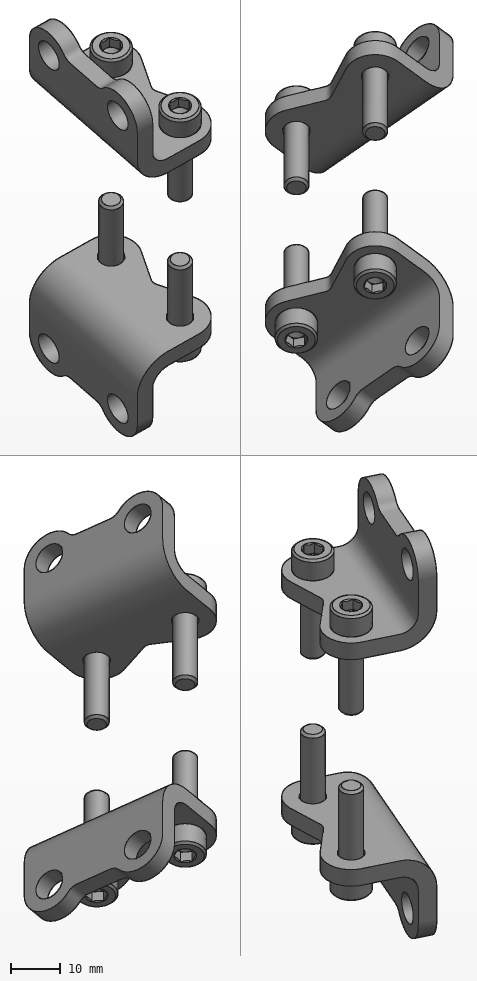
import cadquery as cq
import math

width = 34.5
overall_height = 94.5
leg_length = 22.2
thickness = 4.0
bend_inner_radius = 4.0
bend_outer_radius = bend_inner_radius + thickness

lobe_radius = 6.2
hole_x = width / 2 - lobe_radius
hole_to_heel = leg_length - lobe_radius
mount_hole_diameter = 6.6
bolt_hole_diameter = 5.5

flat_notch_depth = 3.2
flat_notch_fillet = 2.8
vee_slope = 25.0
vee_root_radius = 2.0

shank_diameter = 5.0
shank_length = 20.0
tip_chamfer = 0.6
head_diameter = 8.5
head_height = 5.0
head_top_chamfer = 0.5
head_base_chamfer = 0.2
socket_across_flats = 4.0
socket_depth = 2.5
socket_mouth_depth = 0.3
socket_cone_angle = 120.0

heel_z = overall_height / 2 - leg_length
seat_z = heel_z + thickness


def on_circle(center_x, center_y, radius, angle):
    """Point on a circle at an angle in degrees from the local x axis."""
    a = math.radians(angle)
    return (center_x + radius * math.cos(a), center_y + radius * math.sin(a))


def start_leg_outline(plane):
    """Outer edge of a leg, up the left side and over the left lobe's crest."""
    return (
        cq.Workplane(plane)
        .moveTo(-width / 2, 0)
        .lineTo(-width / 2, hole_to_heel)
        .threePointArc(on_circle(-hole_x, hole_to_heel, lobe_radius, 135), (-hole_x, leg_length))
    )


def finish_leg_outline(outline):
    """Right lobe from its crest to the side, then back along the heel."""
    return (
        outline
        .threePointArc(on_circle(hole_x, hole_to_heel, lobe_radius, 45), (width / 2, hole_to_heel))
        .lineTo(width / 2, 0)
        .close()
    )


def make_mount_leg_outline():
    """Two lobes joined by fillets to a flat-bottomed notch."""
    flat_y = leg_length - flat_notch_depth
    fillet_y = flat_y + flat_notch_fillet
    rise = fillet_y - hole_to_heel
    center_distance = lobe_radius + flat_notch_fillet
    fillet_x = hole_x - math.sqrt(center_distance**2 - rise**2)
    lobe_angle = math.degrees(math.asin(rise / center_distance))
    arc_middle = (90 + lobe_angle) / 2
    left_join = on_circle(-hole_x, hole_to_heel, lobe_radius, lobe_angle)
    right_join = (-left_join[0], left_join[1])
    outline = (
        start_leg_outline(cq.Plane(origin=(0, 0, heel_z), xDir=(1, 0, 0), normal=(0, -1, 0)))
        .threePointArc(on_circle(-hole_x, hole_to_heel, lobe_radius, arc_middle), left_join)
        .threePointArc(
            on_circle(-fillet_x, fillet_y, flat_notch_fillet, 180 + arc_middle),
            (-fillet_x, flat_y),
        )
        .lineTo(fillet_x, flat_y)
        .threePointArc(on_circle(fillet_x, fillet_y, flat_notch_fillet, -arc_middle), right_join)
        .threePointArc(
            on_circle(hole_x, hole_to_heel, lobe_radius, 180 - arc_middle),
            (hole_x, leg_length),
        )
    )
    return finish_leg_outline(outline)


def make_bolt_leg_outline():
    """Two lobes joined by tangent flanks to a rounded vee notch."""
    flank_angle = 90 - vee_slope
    lobe_middle = (90 + flank_angle) / 2
    slope = math.radians(vee_slope)
    root_center_y = (
        hole_to_heel
        + (lobe_radius + vee_root_radius) / math.cos(slope)
        - hole_x * math.tan(slope)
    )
    outline = (
        start_leg_outline(cq.Plane.XY(origin=(0, 0, heel_z)))
        .threePointArc(
            on_circle(-hole_x, hole_to_heel, lobe_radius, lobe_middle),
            on_circle(-hole_x, hole_to_heel, lobe_radius, flank_angle),
        )
        .lineTo(*on_circle(0, root_center_y, vee_root_radius, 180 + flank_angle))
        .threePointArc(
            (0, root_center_y - vee_root_radius),
            on_circle(0, root_center_y, vee_root_radius, -flank_angle),
        )
        .lineTo(*on_circle(hole_x, hole_to_heel, lobe_radius, 180 - flank_angle))
        .threePointArc(
            on_circle(hole_x, hole_to_heel, lobe_radius, 180 - lobe_middle),
            (hole_x, leg_length),
        )
    )
    return finish_leg_outline(outline)


def make_bracket():
    """Upper bracket: a bent plate trimmed by both leg outlines, with two holes per leg."""
    top_z = heel_z + leg_length
    bent_plate = (
        cq.Workplane("YZ", origin=(-width / 2, 0, 0))
        .moveTo(0, top_z)
        .lineTo(0, heel_z + bend_outer_radius)
        .radiusArc((bend_outer_radius, heel_z), -bend_outer_radius)
        .lineTo(leg_length, heel_z)
        .lineTo(leg_length, seat_z)
        .lineTo(bend_outer_radius, seat_z)
        .radiusArc((thickness, heel_z + bend_outer_radius), bend_inner_radius)
        .lineTo(thickness, top_z)
        .close()
        .extrude(width)
    )
    bracket = (
        bent_plate
        .intersect(make_mount_leg_outline().extrude(-leg_length))
        .intersect(make_bolt_leg_outline().extrude(leg_length))
    )
    mount_holes = (
        cq.Workplane("XZ")
        .pushPoints([(-hole_x, heel_z + hole_to_heel), (hole_x, heel_z + hole_to_heel)])
        .circle(mount_hole_diameter / 2)
        .extrude(-thickness)
    )
    bolt_holes = (
        cq.Workplane("XY", origin=(0, 0, heel_z))
        .pushPoints([(-hole_x, hole_to_heel), (hole_x, hole_to_heel)])
        .circle(bolt_hole_diameter / 2)
        .extrude(thickness)
    )
    return bracket.cut(mount_holes).cut(bolt_holes)


def make_bolt():
    """Socket head bolt along Z with the underside of its head at Z = 0."""
    head = (
        cq.Workplane("XY")
        .circle(head_diameter / 2)
        .extrude(head_height)
        .faces(">Z").chamfer(head_top_chamfer)
        .faces("<Z").chamfer(head_base_chamfer)
    )
    shank = (
        cq.Workplane("XY")
        .circle(shank_diameter / 2)
        .extrude(-shank_length)
        .faces("<Z").chamfer(tip_chamfer)
    )
    return head.union(shank).cut(make_socket())


def make_socket():
    """Hexagonal recess of the bolt head, with two corners along Y, a lead-in and a conical floor."""
    flat_radius = socket_across_flats / 2
    half_side_angle = 360 / 6 / 2
    corner_radius = flat_radius / math.cos(math.radians(half_side_angle))
    floor_z = head_height - socket_depth
    floor_cone_depth = flat_radius / math.tan(math.radians(socket_cone_angle / 2))
    down = cq.Vector(0, 0, -1)
    hexagon = (
        cq.Workplane("XY", origin=(0, 0, floor_z))
        .polygon(6, 2 * corner_radius)
        .extrude(socket_depth)
        .rotate((0, 0, 0), (0, 0, 1), half_side_angle)
    )
    lead_in = cq.Solid.makeCone(
        corner_radius, flat_radius, socket_mouth_depth, cq.Vector(0, 0, head_height), down
    )
    floor_cone = cq.Solid.makeCone(flat_radius, 0, floor_cone_depth, cq.Vector(0, 0, floor_z), down)
    return hexagon.union(cq.Workplane(lead_in)).union(cq.Workplane(floor_cone))


upper_bracket = make_bracket()
upper_bolts = [make_bolt().translate((side * hole_x, hole_to_heel, seat_z)) for side in (-1, 1)]
upper_bodies = [upper_bracket, *upper_bolts]
lower_bodies = [body.mirror("XY") for body in upper_bodies]

result = cq.Compound.makeCompound([body.solids().val() for body in upper_bodies + lower_bodies])